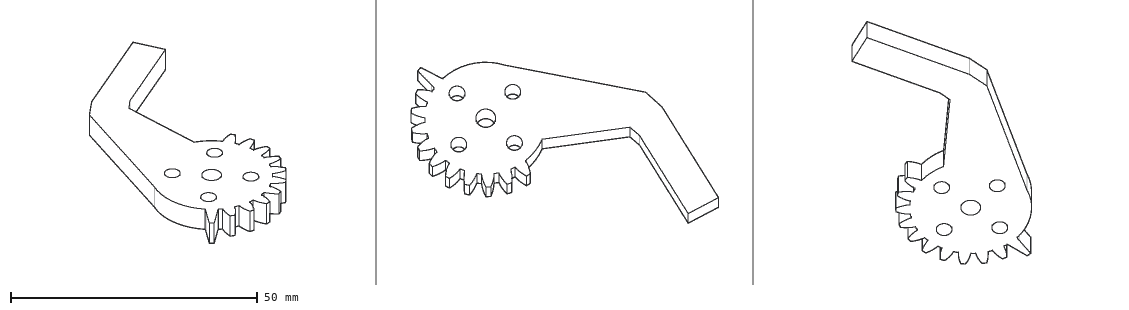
import cadquery as cq
import math

thickness = 5.0

inch = 25.4
teeth_per_turn = 22
addendum = inch / 20
dedendum = 1.25 * addendum
pitch_radius = teeth_per_turn * addendum / 2
tip_radius = pitch_radius + addendum
root_radius = pitch_radius - dedendum
foot_depth = 1.0
foot_radius = root_radius - foot_depth
tooth_step = 360 / teeth_per_turn
full_tooth_count = 10
teeth_above_x_axis = 6
tooth_phase = 0.75
first_tooth_angle = teeth_above_x_axis * tooth_step + tooth_phase
tip_width = 1.0
pitch_width = math.pi * pitch_radius / teeth_per_turn
root_width = 2.56

stop_tip_length = 17.32
stop_tip_width = 1.0
stop_flare_length = 13.15
stop_flare_width = 2.36
stop_flare_sagitta = 0.05
stop_root_width = 2.8
stop_angle = -64.5

shaft_hole_diameter = 4.0
screw_hole_diameter = 3.2
screw_circle_radius = 8.0
screw_hole_count = 4
first_screw_angle = 21.0

bar_lean = 4.0
bar_width = 7.12
bar_outer_length = 23.05
bar_inner_length = 19.9
bar_end_corner = (-34.94, 36.38)
outer_knee = (-31.73, 8.93)
inner_knee = (-25.47, 14.53)
arm_lower_angle = 225.5
arm_upper_angle = 132.1


def polar(radius, angle):
    """Point at a radius and an angle in degrees about the gear centre."""
    return (radius * math.cos(math.radians(angle)), radius * math.sin(math.radians(angle)))


def step(start, distance, angle):
    """Point reached from start by moving a distance along an angle in degrees."""
    dx, dy = polar(distance, angle)
    return (start[0] + dx, start[1] + dy)


def at_radius(radius, half_width):
    """Point on a circle about the origin, at a height half_width above the X axis."""
    return (math.sqrt(radius**2 - half_width**2), half_width)


def mirrored(point):
    """Point reflected across the X axis."""
    return (point[0], -point[1])


def gear_tooth():
    """One tooth along +X with curved flanks; its foot reaches into the hub."""
    root = at_radius(root_radius, root_width / 2)
    middle = at_radius(pitch_radius, pitch_width / 2)
    tip = at_radius(tip_radius, tip_width / 2)
    return (
        cq.Workplane("XY")
        .moveTo(foot_radius, -root_width / 2)
        .lineTo(*mirrored(root))
        .threePointArc(mirrored(middle), mirrored(tip))
        .threePointArc((tip_radius, 0), tip)
        .threePointArc(middle, root)
        .lineTo(foot_radius, root_width / 2)
        .close()
        .extrude(thickness)
    )


def stop_tooth():
    """Tapered tooth along +X, longer than the gear teeth, with a concave flare at its root."""
    root = at_radius(root_radius, stop_root_width / 2)
    flare_end = (stop_flare_length, stop_flare_width / 2)
    flare_middle = (
        (root[0] + flare_end[0]) / 2,
        (root[1] + flare_end[1]) / 2 - stop_flare_sagitta,
    )
    tip = (stop_tip_length, stop_tip_width / 2)
    return (
        cq.Workplane("XY")
        .moveTo(foot_radius, -stop_root_width / 2)
        .lineTo(*mirrored(root))
        .threePointArc(mirrored(flare_middle), mirrored(flare_end))
        .lineTo(*mirrored(tip))
        .lineTo(*tip)
        .lineTo(*flare_end)
        .threePointArc(flare_middle, root)
        .lineTo(foot_radius, stop_root_width / 2)
        .close()
        .extrude(thickness)
    )


def placed(tooth, angle):
    """Tooth turned about the gear centre to an angle in degrees."""
    return tooth.rotate((0, 0, 0), (0, 0, 1), angle)


def bent_arm():
    """Straight bar, bend with two knees, and the web that widens into the hub."""
    down_the_bar = bar_lean - 90
    end_inner = step(bar_end_corner, bar_width, bar_lean)
    outline = [
        bar_end_corner,
        step(bar_end_corner, bar_outer_length, down_the_bar),
        outer_knee,
        polar(root_radius, arm_lower_angle),
        polar(root_radius, arm_upper_angle),
        inner_knee,
        step(end_inner, bar_inner_length, down_the_bar),
        end_inner,
    ]
    return cq.Workplane("XY").polyline(outline).close().extrude(thickness)


def hole(diameter, center):
    """Cylinder through the full thickness, for cutting."""
    return cq.Workplane("XY").center(*center).circle(diameter / 2).extrude(thickness)


body = cq.Workplane("XY").circle(root_radius).extrude(thickness)
for index in range(full_tooth_count):
    body = body.union(placed(gear_tooth(), first_tooth_angle - index * tooth_step))
body = body.union(placed(stop_tooth(), stop_angle))
body = body.union(bent_arm())

body = body.cut(hole(shaft_hole_diameter, (0, 0)))
for index in range(screw_hole_count):
    screw_angle = first_screw_angle + index * 360 / screw_hole_count
    body = body.cut(hole(screw_hole_diameter, polar(screw_circle_radius, screw_angle)))

result = body